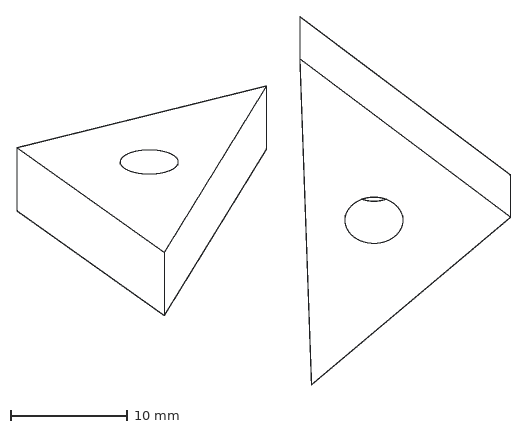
import cadquery as cq

leg_length = 25.0
thickness = 6.0

hole_diameter = 5.0
hole_offset = leg_length / 3

plate = (
    cq.Workplane("XY")
    .polyline([(0, 0), (leg_length, 0), (0, leg_length)])
    .close()
    .extrude(thickness)
)

hole = (
    cq.Workplane("XY")
    .center(hole_offset, hole_offset)
    .circle(hole_diameter / 2)
    .extrude(thickness)
)

result = plate.cut(hole)